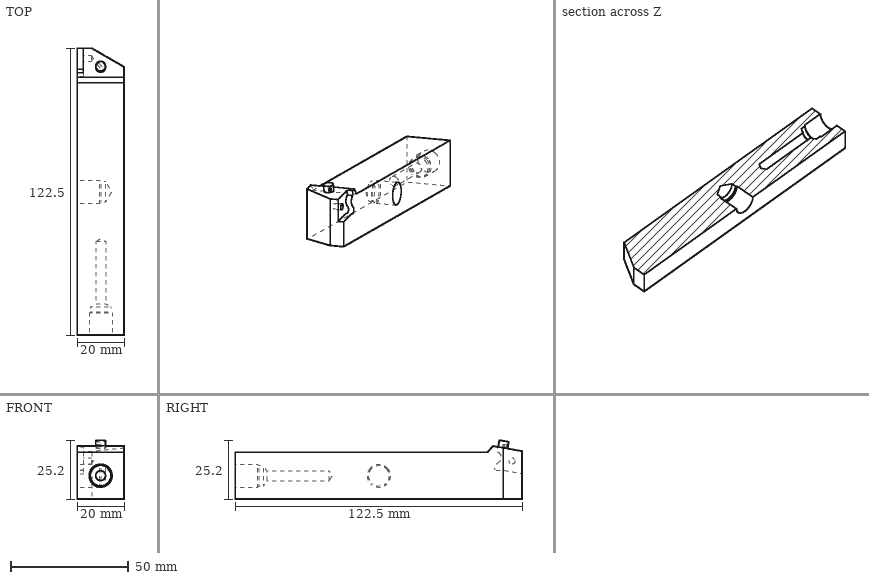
import cadquery as cq
import math

width = 20.0
length = 122.5
shank_height = 20.0

top_slope = 10.0
tip_height = 20.5
peak_setback = 12.4
ridge_foot_setback = 14.8
peak_height = tip_height + peak_setback * math.tan(math.radians(top_slope))
tip_width = 6.2
taper_angle = 30.0

seat_depth = 2.5
seat_floor_height = 10.9
seat_floor_length = 8.7
seat_back_setback = 10.5
lobe_setback = 10.7
lobe_height = 13.6
lobe_radius = 1.3
lobe_start_angle = -98.0
hook_setback = 11.5
hook_height = 17.9
hook_radius = 2.5

screw_setback = 4.4
screw_height = 16.4
screw_diameter = 2.6
screw_depth = 6.0

pin_diameter = 4.2
pin_setback = 8.2
total_height = 25.18
nozzle_diameter = 1.0
nozzle_height = 22.9
nozzle_angle = 50.0

drill_point = 118.0
port_diameter = 9.8
port_bore_depth = 10.0
core_diameter = 8.8
core_depth = 12.0
channel_diameter = 4.2
channel_depth = 40.0
port_height = shank_height / 2


def end_point(setback, height):
    """Point in the YZ plane, located from the cutting end."""
    return (length - setback, height)


def on_circle(setback, height, radius, angle):
    """Point on a circle in the YZ plane; the angle runs from the rearward direction toward +Z."""
    turn = math.radians(angle)
    return end_point(setback + radius * math.cos(turn), height + radius * math.sin(turn))


def make_body():
    profile = [
        (0, 0),
        (length, 0),
        end_point(0, tip_height),
        end_point(peak_setback, peak_height),
        end_point(ridge_foot_setback, shank_height),
        (0, shank_height),
    ]
    return cq.Workplane("YZ").polyline(profile).close().extrude(width)


def make_relief():
    relief_length = (width - tip_width) * math.tan(math.radians(taper_angle))
    corner = [(tip_width, length), (width, length), (width, length - relief_length)]
    return cq.Workplane("XY").polyline(corner).close().extrude(total_height)


def common_tangent_angle():
    """Angle on the hook where the line tangent to both hook and lobe touches it."""
    across = lobe_setback - hook_setback
    down = lobe_height - hook_height
    centre_line = math.degrees(math.atan2(down, across)) % 360
    spread = math.degrees(math.acos((hook_radius + lobe_radius) / math.hypot(across, down)))
    return centre_line - spread


def make_seat():
    floor_end = seat_floor_height + seat_floor_length * math.tan(math.radians(top_slope))
    hook_start_angle = common_tangent_angle()
    hook_end_angle = math.degrees(math.acos((seat_back_setback - hook_setback) / hook_radius))
    lobe_end_angle = hook_start_angle - 180

    def on_lobe(angle):
        return on_circle(lobe_setback, lobe_height, lobe_radius, angle)

    def on_hook(angle):
        return on_circle(hook_setback, hook_height, hook_radius, angle)

    return (
        cq.Workplane("YZ")
        .moveTo(*end_point(0, seat_floor_height))
        .lineTo(*end_point(seat_floor_length, floor_end))
        .lineTo(*on_lobe(lobe_start_angle))
        .threePointArc(on_lobe((lobe_start_angle + lobe_end_angle) / 2), on_lobe(lobe_end_angle))
        .lineTo(*on_hook(hook_start_angle))
        .threePointArc(on_hook((hook_start_angle + hook_end_angle) / 2), on_hook(hook_end_angle))
        .lineTo(*end_point(seat_back_setback, total_height))
        .lineTo(*end_point(0, total_height))
        .close()
        .extrude(seat_depth)
    )


def drill(diameter, depth):
    """Drilled hole along +Z from the origin, with a conical bottom."""
    radius = diameter / 2
    point_length = radius / math.tan(math.radians(drill_point / 2))
    outline = [(0, 0), (radius, 0), (radius, depth), (0, depth + point_length)]
    return cq.Workplane("XZ").polyline(outline).close().revolve(360, (0, 0, 0), (0, 1, 0))


def make_port():
    """Bore along +Z with a 45 degree shoulder down to a core that ends in a drill point."""
    bore_radius = port_diameter / 2
    core_radius = core_diameter / 2
    shoulder = bore_radius - core_radius
    bore = cq.Workplane("XY").circle(bore_radius).extrude(port_bore_depth)
    bore = bore.faces(">Z").edges().chamfer(shoulder)
    return bore.union(drill(core_diameter, core_depth))


def along_x(tool, y, z):
    return tool.rotate((0, 0, 0), (0, 1, 0), 90).translate((0, y, z))


def along_y(tool, x, z):
    return tool.rotate((0, 0, 0), (1, 0, 0), -90).translate((x, 0, z))


def make_holes():
    port = make_port()
    channel = drill(channel_diameter, channel_depth)
    screw = drill(screw_diameter, screw_depth)
    return [
        along_y(port, width / 2, port_height),
        along_y(channel, width / 2, port_height),
        along_x(port, length / 2, port_height),
        along_x(screw, length - screw_setback, screw_height),
    ]


def pin_base_height():
    return tip_height + pin_setback * math.tan(math.radians(top_slope))


def make_pin():
    slope = math.radians(top_slope)
    high_edge_rise = pin_diameter / 2 * math.sin(slope)
    pin_length = (total_height - pin_base_height() - high_edge_rise) / math.cos(slope)
    sunk = pin_diameter / 2
    return (
        cq.Workplane("XY")
        .workplane(offset=-sunk)
        .circle(pin_diameter / 2)
        .extrude(sunk + pin_length)
        .rotate((0, 0, 0), (1, 0, 0), -top_slope)
        .translate((width / 2, length - pin_setback, pin_base_height()))
    )


def make_nozzle():
    """Horizontal jet hole from the pin axis out toward the insert seat."""
    lean = (nozzle_height - pin_base_height()) * math.tan(math.radians(top_slope))
    jet = cq.Workplane("YZ").circle(nozzle_diameter / 2).extrude(-pin_diameter)
    axis_y = length - pin_setback + lean
    return jet.rotate((0, 0, 0), (0, 0, 1), -nozzle_angle).translate((width / 2, axis_y, nozzle_height))


result = make_body().cut(make_relief()).cut(make_seat())
for hole in make_holes():
    result = result.cut(hole)
result = result.union(make_pin()).cut(make_nozzle())